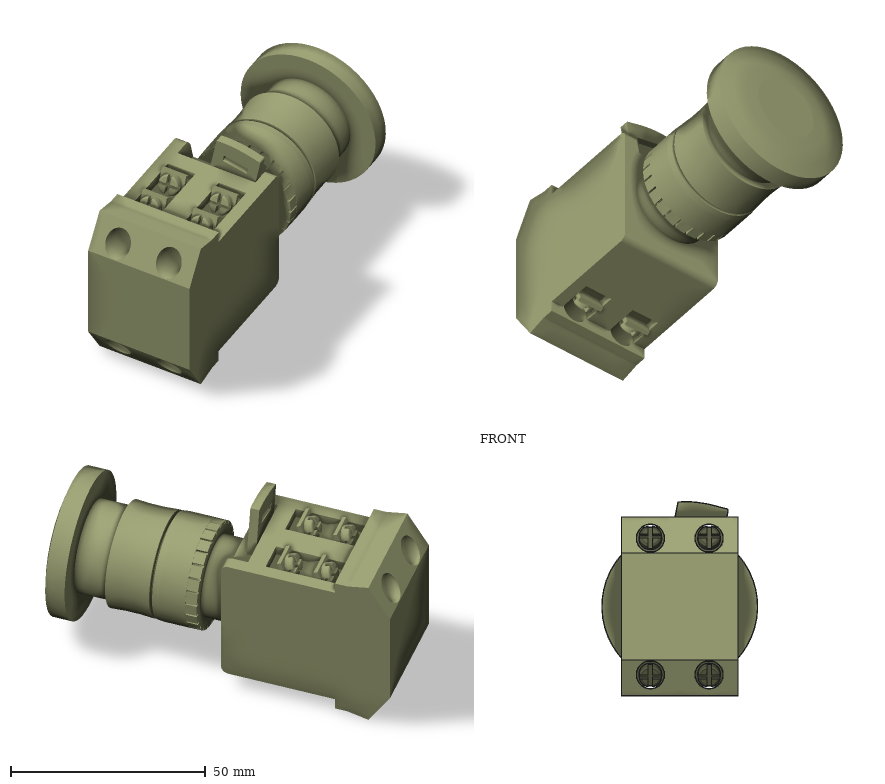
import cadquery as cq
import math


total_length = 94.2
cap_diameter = 40.0
cap_radius = cap_diameter / 2
cap_flat_radius = 8.95
cap_rim_y = 92.1
cap_back_y = 86.85
neck_radius = 12.5
bezel_back_y = 77.8
bezel_front_y = 65.8
bezel_radius = 14.4
bezel_waist_radius = 14.1
ring_back_y = 65.0
ring_taper_y = 63.1
ring_radius = 14.6
knurl_back_y = 56.0
ring_front_y = 52.8
knurl_count = 25
knurl_groove_width = 0.6
knurl_groove_depth = 0.9
stem_radius = 11.0
cut_margin = 0.9

block_width = 30.05
block_length = 46.0
block_half_height = 18.6
block_corner_radius = 2.0
flange_y = 15.0
flange_half_height = 21.8
flange_crest_start_y = 11.6
crest_y = 5.8
crest_half_height = 23.0
face_half_height = 13.8

recess_front_y = 39.8
recess_floor_z = 13.2
recess_top_width = 23.1
recess_top_half_width = recess_top_width / 2
recess_floor_half_width = 10.5

lever_y = 40.7
lever_thickness = 2.45
lever_top_z = 26.9
lever_tilt = 11.3
lever_left_x = -0.5
lever_left_z = 26.8
lever_arc_mid_x = 1.9
lever_arc_end = (4.6, 26.75)
lever_kink = (7.5, 26.3)
lever_nose = (12.5, 25.0)
lever_nose_radius = 0.6
window_left_x = 1.3
window_width = 7.35
window_bottom_z = 20.9
window_height = 1.9

pole_offset = 7.5
terminal_pitch = 10.0
pocket_width = 8.1
pocket_floor_z = 15.8
pocket_back_y = 35.0
hole_radius = 3.6
hole_z = 17.5
hole_depth = 19.6
screw_tilt = 22.0
ridge_back_y = 26.5
ridge_length = 5.65
screw_seat_y = 30.9
screw_seat_z = 16.9
washer_width = 7.3
washer_height = 6.8
washer_thickness = 1.1
head_radius = 2.9
head_height = 2.3
head_fillet = 0.6
slot_width = 1.1
slot_depth = 1.5


def box(x0, x1, y0, y1, z0, z1):
    """Axis-aligned box between the given limits."""
    return cq.Workplane("XY").box(x1 - x0, y1 - y0, z1 - z0, centered=False).translate((x0, y0, z0))


def make_button():
    """Cap, neck, bezel, ring and stem turned about the Y axis."""
    drop = total_length - cap_rim_y
    run = cap_radius - cap_flat_radius
    dome_radius = (run**2 + drop**2) / (2 * drop)
    half_angle = math.atan2(drop, run)
    dome_mid = (
        total_length - dome_radius * (1 - math.cos(half_angle)),
        cap_flat_radius + dome_radius * math.sin(half_angle),
    )
    stem_start_y = block_length - block_corner_radius
    body = (
        cq.Workplane("YZ")
        .moveTo(total_length, 0)
        .lineTo(total_length, cap_flat_radius)
        .threePointArc(dome_mid, (cap_rim_y, cap_radius))
        .lineTo(cap_back_y, cap_radius)
        .lineTo(cap_back_y, neck_radius)
        .lineTo(bezel_back_y, neck_radius)
        .lineTo(bezel_back_y, bezel_radius)
        .threePointArc(
            ((bezel_back_y + bezel_front_y) / 2, bezel_waist_radius), (bezel_front_y, bezel_radius)
        )
        .lineTo(bezel_front_y, neck_radius)
        .lineTo(ring_back_y, neck_radius)
        .lineTo(ring_back_y, bezel_radius)
        .lineTo(ring_taper_y, ring_radius)
        .lineTo(ring_front_y, ring_radius)
        .lineTo(ring_front_y, stem_radius)
        .lineTo(stem_start_y, stem_radius)
        .lineTo(stem_start_y, 0)
        .close()
        .revolve(360, (0, 0, 0), (1, 0, 0))
    )
    rib_band = (
        cq.Workplane("XZ", origin=(0, ring_front_y, 0))
        .circle(ring_radius + cut_margin)
        .polygon(knurl_count, 2 * ring_radius)
        .extrude(ring_front_y - knurl_back_y)
    )
    body = body.cut(rib_band)
    groove = box(
        -ring_radius - cut_margin,
        -ring_radius + knurl_groove_depth,
        ring_front_y,
        knurl_back_y,
        -knurl_groove_width / 2,
        knurl_groove_width / 2,
    )
    pitch = 360 / knurl_count
    for i in range(knurl_count):
        body = body.cut(groove.rotate((0, 0, 0), (0, 1, 0), (i + 0.5) * pitch))
    return body


def make_block():
    """Side profile of the block, symmetric about Z = 0, extruded across its width."""
    upper = [
        (0, face_half_height),
        (crest_y, crest_half_height),
        (flange_crest_start_y, flange_half_height),
        (flange_y, flange_half_height),
        (flange_y, block_half_height),
        (block_length, block_half_height),
    ]
    lower = [(y, -z) for y, z in reversed(upper)]
    return (
        cq.Workplane("YZ")
        .polyline(upper + lower)
        .close()
        .extrude(block_width / 2, both=True)
        .edges("|X and >Y")
        .fillet(block_corner_radius)
    )


def make_recess():
    """Flat-floored recess whose side walls lean outwards."""
    return (
        cq.Workplane("XZ")
        .polyline(
            [
                (-recess_floor_half_width, recess_floor_z),
                (recess_floor_half_width, recess_floor_z),
                (recess_top_half_width, block_half_height),
                (-recess_top_half_width, block_half_height),
            ]
        )
        .close()
        .extrude(recess_front_y - block_length)
        .translate((0, recess_front_y, 0))
    )


def make_lever():
    """Upright lever plate with a window, standing on the recess floor."""
    side_slope = math.tan(math.radians(lever_tilt))
    nose_x, nose_z = lever_nose
    base_left_x = lever_left_x - side_slope * (lever_left_z - recess_floor_z)
    base_right_x = nose_x - side_slope * (nose_z - recess_floor_z)
    plate = (
        cq.Workplane("XZ")
        .moveTo(base_left_x, recess_floor_z)
        .lineTo(lever_left_x, lever_left_z)
        .threePointArc((lever_arc_mid_x, lever_top_z), lever_arc_end)
        .lineTo(*lever_kink)
        .lineTo(nose_x, nose_z)
        .lineTo(base_right_x, recess_floor_z)
        .close()
        .extrude(-lever_thickness)
        .edges(cq.selectors.NearestToPointSelector((nose_x, lever_thickness / 2, nose_z)))
        .fillet(lever_nose_radius)
        .translate((0, lever_y, 0))
    )
    window = box(
        window_left_x,
        window_left_x + window_width,
        lever_y,
        lever_y + lever_thickness,
        window_bottom_z,
        window_bottom_z + window_height,
    )
    window_corner = (window_left_x, 0, window_bottom_z)
    window = window.rotate(window_corner, (window_left_x, 1, window_bottom_z), lever_tilt)
    return plate.cut(window)


def make_pocket(back_y):
    """Terminal pocket, open upwards, from the flange to back_y."""
    return box(-pocket_width / 2, pocket_width / 2, flange_y, back_y, pocket_floor_z, block_half_height)


def make_wire_hole():
    """Round wire entry running from the terminal face to the screw washer."""
    return cq.Workplane("XZ").center(0, hole_z).circle(hole_radius).extrude(-hole_depth)


def make_ridge():
    """Wedge behind the front screw, rising towards it at the tilt of the screw."""
    front_y = ridge_back_y - ridge_length
    rise = ridge_length * math.tan(math.radians(screw_tilt))
    return (
        cq.Workplane("YZ")
        .polyline(
            [
                (ridge_back_y, pocket_floor_z),
                (front_y, pocket_floor_z + rise),
                (front_y, pocket_floor_z),
            ]
        )
        .close()
        .extrude(pocket_width / 2, both=True)
    )


def make_screw():
    """Rectangular washer and cross-slotted screw head facing -Y, tilted upwards."""
    face = washer_thickness + head_height
    washer = cq.Workplane("XZ").rect(washer_width, washer_height).extrude(washer_thickness)
    head = cq.Workplane("XZ").circle(head_radius).extrude(face).faces("<Y").edges().fillet(head_fillet)
    slot = cq.Workplane("XZ", origin=(0, -face, 0)).rect(slot_width, 2 * head_radius).extrude(-slot_depth)
    cross_slot = slot.rotate((0, 0, 0), (0, 1, 0), 90)
    return (
        washer.union(head)
        .cut(slot)
        .cut(cross_slot)
        .rotate((0, 0, 0), (1, 0, 0), -screw_tilt)
        .translate((0, screw_seat_y, screw_seat_z))
    )


block = make_block().cut(make_recess())
front_pocket_back_y = pocket_back_y - terminal_pitch
rear_screw = make_screw()
front_screw = rear_screw.translate((0, -terminal_pitch, 0))

for x in (-pole_offset, pole_offset):
    top_cuts = make_pocket(pocket_back_y).cut(make_ridge()).union(make_wire_hole())
    bottom_cuts = make_pocket(front_pocket_back_y).union(make_wire_hole()).mirror("XY")
    block = block.cut(top_cuts.translate((x, 0, 0))).cut(bottom_cuts.translate((x, 0, 0)))
    for screw in (rear_screw, front_screw, front_screw.mirror("XY")):
        block = block.union(screw.translate((x, 0, 0)))

result = block.union(make_button()).union(make_lever())